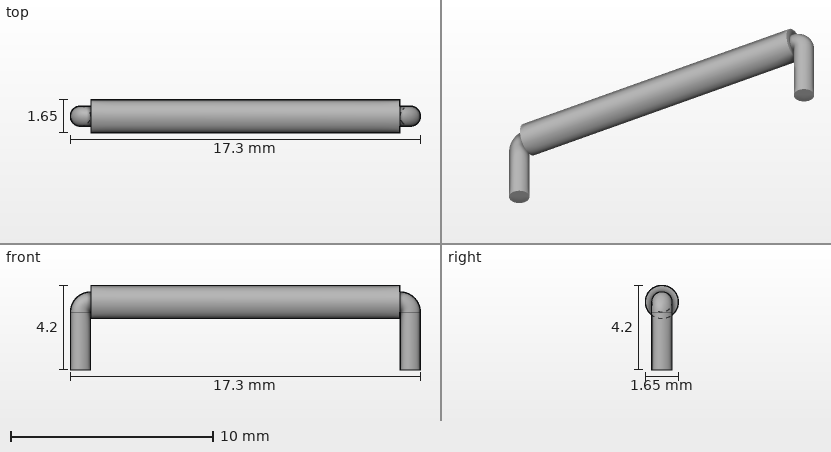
import cadquery as cq

overall_length = 17.32
overall_height = 4.2
barrel_diameter = 1.65
lead_diameter = 1.0
bend_inner_radius = 0.02

bend_outer_radius = bend_inner_radius + lead_diameter
barrel_length = overall_length - 2 * bend_outer_radius
barrel_end = barrel_length / 2
lead_radius = lead_diameter / 2
bend_radius = bend_inner_radius + lead_radius
bend_angle = 90
leg_bottom = barrel_diameter / 2 - overall_height
bend_bottom = -bend_radius
leg_length = bend_bottom - leg_bottom


def make_barrel():
    """Solid round barrel lying along X, centred on the origin."""
    return (
        cq.Workplane("YZ", origin=(-barrel_end, 0, 0))
        .circle(barrel_diameter / 2)
        .extrude(barrel_length)
    )


def make_lead():
    """Round lead at the -X end: a quarter bend off the barrel face and a straight leg."""
    leg = (
        cq.Workplane("XY", origin=(-barrel_end - bend_radius, 0, leg_bottom))
        .circle(lead_radius)
        .extrude(leg_length)
    )
    bend = (
        cq.Workplane("YZ", origin=(-barrel_end, 0, 0))
        .circle(lead_radius)
        .revolve(bend_angle, (0, bend_bottom), (-1, bend_bottom))
    )
    return leg.union(bend)


barrel = make_barrel()
leads = cq.Workplane("XY")
for turn in (0, 180):
    leads.add(make_lead().rotate((0, 0, 0), (0, 0, 1), turn).solids().val())

result = cq.Compound.makeCompound([barrel.val(), *leads.vals()])